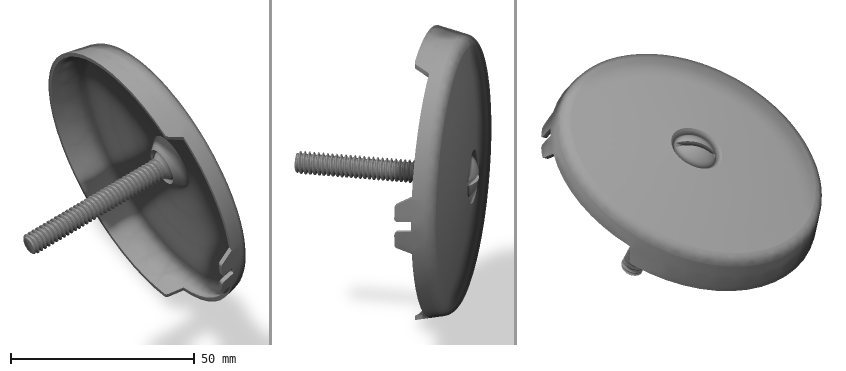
import cadquery as cq
import math


RIM_RADIUS = 40.4
CROWN_HEIGHT = 13.4
DOME_RADIUS = 235.85
WALL_SLOPE = 12.0
SHOULDER_FILLET = 3.3
SHEET = 1.2

DIMPLE_HALF_ANGLE = 41.0
DIMPLE_BASE_RADIUS = 8.0
DIMPLE_TIP_RADIUS = 5.25

NOTCH_DEPTH = 4.5
NOTCH_RIM_X = 14.3
NOTCH_FLOOR_X = 16.15
TAB_BASE_HALF_WIDTH = 8.2
TAB_TIP_HALF_WIDTH = 6.1
TAB_GAP = 2.9
CORNER_FILLET = 1.0

SCREW_TOP = 14.8
SCREW_TIP = -35.95
HEAD_DOME_RADIUS = 8.2
DRIVE_SLOT_WIDTH = 1.6
DRIVE_SLOT_DEPTH = 2.4
THREAD_RADIUS = 3.15
GAUGE_LENGTH = 25.4
GAUGE_TURNS = 20
THREAD_PITCH = GAUGE_LENGTH / GAUGE_TURNS
THREAD_DEPTH = 0.7
CORE_RADIUS = THREAD_RADIUS - THREAD_DEPTH
CREST_WIDTH = 0.2
ROOT_WIDTH = 1.05
TIP_CHAMFER = 0.65
THREAD_START_ANGLE = 170.0
TRIMMED_TURNS = 3
RIDGE_EMBED = 0.2

CLEAR = 8.1

dimple_tan = math.tan(math.radians(DIMPLE_HALF_ANGLE))
dimple_cos = math.cos(math.radians(DIMPLE_HALF_ANGLE))
dimple_sin = math.sin(math.radians(DIMPLE_HALF_ANGLE))

dome_centre_y = CROWN_HEIGHT - DOME_RADIUS
inner_dome_radius = DOME_RADIUS - SHEET
dimple_base_y = dome_centre_y + math.sqrt(inner_dome_radius**2 - DIMPLE_BASE_RADIUS**2)
dimple_tip_y = dimple_base_y - (DIMPLE_BASE_RADIUS - DIMPLE_TIP_RADIUS) / dimple_tan
hole_radius = DIMPLE_TIP_RADIUS - SHEET * dimple_cos
hole_y = dimple_tip_y + SHEET * dimple_sin


def seat_radius_at(y):
    """Radius of the conical seat shared by the dimple and the screw head."""
    return hole_radius + (y - hole_y) * dimple_tan


def seat_height_at(radius):
    """Height at which the conical seat has the given radius."""
    return hole_y + (radius - hole_radius) / dimple_tan


def revolve_about_y(outline):
    return outline.close().revolve(360, (0, 0, 0), (0, 1, 0))


def rise_to_crossing(start_radius, slope, sphere_radius):
    """Rise above a sphere's centre at which a cone of radius start_radius + slope * rise meets it."""
    steepness = 1 + slope**2
    lean = slope * start_radius
    root = math.sqrt(lean**2 - steepness * (start_radius**2 - sphere_radius**2))
    return (root - lean) / steepness


def dome_solid(rim_radius, crown_height, dome_radius, fillet):
    """Solid bounded by the rim plane, a conical wall and a spherical dome."""
    centre_y = crown_height - dome_radius
    slope = math.tan(math.radians(WALL_SLOPE))

    corner_y = centre_y + rise_to_crossing(rim_radius - slope * centre_y, -slope, dome_radius)
    corner_radius = rim_radius - slope * corner_y

    mid_radius = corner_radius / 2
    mid_y = centre_y + math.sqrt(dome_radius**2 - mid_radius**2)
    outline = (
        cq.Workplane("XY")
        .lineTo(rim_radius, 0)
        .lineTo(corner_radius, corner_y)
        .threePointArc((mid_radius, mid_y), (0, crown_height))
    )
    corner = cq.selectors.NearestToPointSelector((-corner_radius, corner_y, 0))
    return revolve_about_y(outline).edges(corner).fillet(fillet)


def dimple_solid():
    """Solid cone under the dome, ending in an edge square to the sheet."""
    mid_sheet_y = CROWN_HEIGHT - SHEET / 2
    outline = (
        cq.Workplane("XY")
        .moveTo(0, hole_y)
        .lineTo(hole_radius, hole_y)
        .lineTo(DIMPLE_TIP_RADIUS, dimple_tip_y)
        .lineTo(DIMPLE_BASE_RADIUS, dimple_base_y)
        .lineTo(DIMPLE_BASE_RADIUS, mid_sheet_y)
        .lineTo(0, mid_sheet_y)
    )
    return revolve_about_y(outline)


def seat_cutter():
    """Cone that opens the dimple through the sheet."""
    top_y = CROWN_HEIGHT + SHEET
    outline = (
        cq.Workplane("XY")
        .moveTo(0, hole_y)
        .lineTo(hole_radius, hole_y)
        .lineTo(seat_radius_at(top_y), top_y)
        .lineTo(0, top_y)
    )
    return revolve_about_y(outline)


def notched_envelope():
    """Space the cap keeps: all of it left of the notch, only above the floor right of it."""
    reach = RIM_RADIUS + CLEAR
    top_y = CROWN_HEIGHT + CLEAR
    notch_corner = cq.selectors.NearestToPointSelector((NOTCH_RIM_X, 0, 0))
    return (
        cq.Workplane("XY")
        .moveTo(-reach, 0)
        .lineTo(NOTCH_RIM_X, 0)
        .lineTo(NOTCH_FLOOR_X, NOTCH_DEPTH)
        .lineTo(reach, NOTCH_DEPTH)
        .lineTo(reach, top_y)
        .lineTo(-reach, top_y)
        .close()
        .extrude(reach, both=True)
        .edges(notch_corner)
        .fillet(CORNER_FILLET)
    )


def tab_envelope(side):
    """Prism along X holding one rim tab; side is +1 or -1 along Z."""
    gap_z = side * TAB_GAP / 2
    tip_z = side * TAB_TIP_HALF_WIDTH
    base_z = side * TAB_BASE_HALF_WIDTH
    return (
        cq.Workplane("YZ")
        .moveTo(NOTCH_DEPTH, gap_z)
        .lineTo(0, gap_z)
        .lineTo(0, tip_z)
        .lineTo(NOTCH_DEPTH, base_z)
        .close()
        .extrude(RIM_RADIUS + CLEAR)
        .edges("|X and <Y")
        .fillet(CORNER_FILLET)
    )


def make_cap():
    outside = dome_solid(RIM_RADIUS, CROWN_HEIGHT, DOME_RADIUS, SHOULDER_FILLET)
    inside = dome_solid(
        RIM_RADIUS - SHEET / math.cos(math.radians(WALL_SLOPE)),
        CROWN_HEIGHT - SHEET,
        inner_dome_radius,
        SHOULDER_FILLET - SHEET,
    )
    shell = outside.cut(inside)
    skirt = shell.intersect(notched_envelope())
    for side in (1, -1):
        skirt = skirt.union(shell.intersect(tab_envelope(side)))
    return skirt.union(dimple_solid()).cut(seat_cutter()).solids().val()


def screw_blank():
    """Head and core of the screw, before the thread and the drive slot."""
    head_centre_y = SCREW_TOP - HEAD_DOME_RADIUS

    rim_rise = rise_to_crossing(seat_radius_at(head_centre_y), dimple_tan, HEAD_DOME_RADIUS)
    rim_y = head_centre_y + rim_rise
    rim_radius = seat_radius_at(rim_y)

    mid_radius = rim_radius / 2
    mid_y = head_centre_y + math.sqrt(HEAD_DOME_RADIUS**2 - mid_radius**2)
    outline = (
        cq.Workplane("XY")
        .moveTo(0, SCREW_TIP)
        .lineTo(CORE_RADIUS, SCREW_TIP)
        .lineTo(CORE_RADIUS, seat_height_at(CORE_RADIUS))
        .lineTo(rim_radius, rim_y)
        .threePointArc((mid_radius, mid_y), (0, SCREW_TOP))
    )
    return revolve_about_y(outline)


def thread_turn():
    """One turn of the right-handed thread ridge around Z, starting in the XZ plane."""
    root_radius = CORE_RADIUS - RIDGE_EMBED
    corners = [
        (root_radius, -ROOT_WIDTH / 2),
        (THREAD_RADIUS, -CREST_WIDTH / 2),
        (THREAD_RADIUS, CREST_WIDTH / 2),
        (root_radius, ROOT_WIDTH / 2),
    ]
    helices = [
        cq.Wire.makeHelix(THREAD_PITCH, THREAD_PITCH, radius).translate(cq.Vector(0, 0, z))
        for radius, z in corners
    ]
    sides = [
        cq.Face.makeRuledSurface(helix, following)
        for helix, following in zip(helices, helices[1:] + helices[:1])
    ]
    ends = [
        cq.Face.makeFromWires(cq.Wire.makePolygon(points, close=True))
        for points in (
            [helix.startPoint() for helix in helices],
            [helix.endPoint() for helix in helices],
        )
    ]
    return cq.Solid.makeSolid(cq.Shell.makeShell(sides + ends))


def tip_envelope(top_y):
    """Cone opening from the chamfered tip, used to trim the first turns of the thread."""
    height = top_y - SCREW_TIP
    end_radius = THREAD_RADIUS - TIP_CHAMFER
    return cq.Solid.makeCone(
        end_radius, end_radius + height, height, cq.Vector(0, SCREW_TIP, 0), cq.Vector(0, 1, 0)
    )


def thread_turns():
    """All turns of the thread, from the chamfered tip to inside the head."""
    turn = (
        thread_turn()
        .rotate(cq.Vector(0, 0, 0), cq.Vector(1, 0, 0), -90)
        .rotate(cq.Vector(0, 0, 0), cq.Vector(0, 1, 0), THREAD_START_ANGLE)
    )
    start_y = SCREW_TIP - THREAD_PITCH / 2
    turn_count = math.ceil((seat_height_at(THREAD_RADIUS) - start_y) / THREAD_PITCH)
    turns = [turn.translate(cq.Vector(0, start_y + i * THREAD_PITCH, 0)) for i in range(turn_count)]

    envelope = tip_envelope(start_y + CLEAR)
    for i in range(TRIMMED_TURNS):
        turns[i] = turns[i].intersect(envelope).Solids()[0]
    return turns


def drive_slot():
    return (
        cq.Workplane("XY")
        .box(2 * HEAD_DOME_RADIUS, 2 * DRIVE_SLOT_DEPTH, DRIVE_SLOT_WIDTH)
        .translate((0, SCREW_TOP, 0))
    )


def make_screw():
    blank = screw_blank().cut(drive_slot()).val()
    return blank.fuse(*thread_turns()).Solids()[0]


cap = make_cap()
screw = make_screw()

result = cq.Compound.makeCompound([cap, screw])